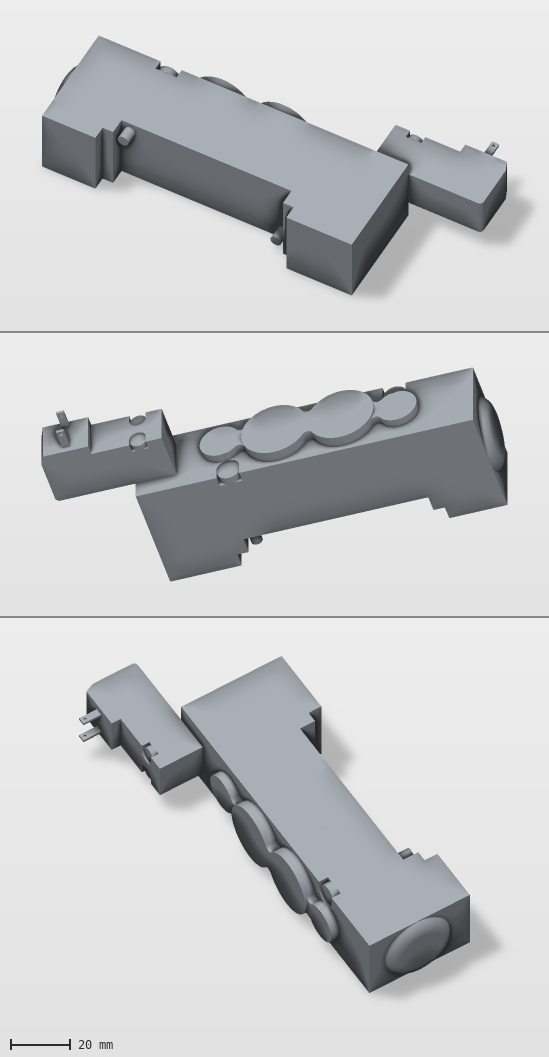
import cadquery as cq
import math


housing_left = -56.8
housing_right = 61.4
housing_depth = 39.8
housing_thickness = 26.6
foot_gap_length = 72.8
foot_gap_height = 5.0
recess_length = 64.8
recess_height = 11.0

button_diameter = 25.9
button_flat_diameter = 16.6
button_height = 2.8
button_y = 20.8

large_boss_diameter = 23.2
large_boss_height = 4.2
large_boss_spacing = large_boss_diameter
small_boss_diameter = 14.1
small_boss_height = 3.3
small_boss_x = 30.9
small_boss_z = 1.2
boss_blend_radius = 2.0

mount_x = 29.1
mount_z = 9.5
mount_shank_diameter = 4.0
mount_tip_y = 6.0
mount_head_diameter = 8.0
mount_head_height = 2.7
mount_seat_depth = 3.5

label_length = 69.4
label_width = 13.0
label_y = 20.0
label_thickness = 0.7

coil_gap = 0.6
coil_left = 47.0
coil_right = 89.0
coil_step_x = 71.6
coil_base_y = housing_depth + coil_gap
coil_step_y = 57.4
coil_top_y = 61.0
coil_thickness = 14.9
coil_corner_radius = 1.5
coil_chamfer_length = 1.5
coil_chamfer_height = 3.5
coil_head_x = 55.5
coil_head_z = 4.8
coil_head_diameter = 5.8
coil_head_height = 2.1
coil_seat_depth = 3.0

blade_x = 79.4
blade_z = 4.8
blade_width = 2.7
blade_thickness = 1.0
blade_tip_y = 68.0
blade_hole_diameter = 1.0
blade_hole_inset = 1.5


def y_cylinder(diameter, x, z, y_start, y_end):
    return (
        cq.Workplane("XZ", origin=(0, y_start, 0))
        .center(x, z)
        .circle(diameter / 2)
        .extrude(y_start - y_end)
    )


def box_between(x_range, y_range, z_range):
    corner = (x_range[0], y_range[0], z_range[0])
    size = (x_range[1] - x_range[0], y_range[1] - y_range[0], z_range[1] - z_range[0])
    return cq.Workplane("XY", origin=corner).box(*size, centered=False)


def edge_slot(diameter, x, z, outer_z, y_floor, y_top):
    """Round-ended slot that opens through the face at outer_z."""
    radius = diameter / 2
    round_end = y_cylinder(diameter, x, z, y_floor, y_top)
    opening = box_between((x - radius, x + radius), (y_floor, y_top), sorted((z, outer_z)))
    return round_end.union(opening)


def blend(x1, z1, radius1, x2, z2, radius2, side, height):
    """Fill between two round bosses, hollowed by an arc tangent to both of them.

    side is +1 or -1 and picks the +Z or the -Z flank of the pair.
    """
    reach1 = radius1 + boss_blend_radius
    reach2 = radius2 + boss_blend_radius
    dx, dz = x2 - x1, z2 - z1
    distance = math.hypot(dx, dz)
    along = (reach1**2 - reach2**2 + distance**2) / (2 * distance)
    across = side * math.sqrt(reach1**2 - along**2)
    arc_x = x1 + (along * dx - across * dz) / distance
    arc_z = z1 + (along * dz + across * dx) / distance
    fill = (
        cq.Workplane("XZ", origin=(0, housing_depth, 0))
        .polyline([(x1, z1), (arc_x, arc_z), (x2, z2)])
        .close()
        .extrude(-height)
    )
    hollow = y_cylinder(
        2 * boss_blend_radius, arc_x, arc_z, housing_depth, housing_depth + height
    )
    return fill.cut(hollow)


def make_block():
    half_gap = foot_gap_length / 2
    half_recess = recess_length / 2
    outline = [
        (housing_left, 0),
        (-half_gap, 0),
        (-half_gap, foot_gap_height),
        (-half_recess, foot_gap_height),
        (-half_recess, recess_height),
        (half_recess, recess_height),
        (half_recess, foot_gap_height),
        (half_gap, foot_gap_height),
        (half_gap, 0),
        (housing_right, 0),
        (housing_right, housing_depth),
        (housing_left, housing_depth),
    ]
    return (
        cq.Workplane("XY")
        .polyline(outline)
        .close()
        .extrude(housing_thickness / 2, both=True)
    )


def make_button():
    base_radius = button_diameter / 2
    flat_radius = button_flat_diameter / 2
    rim = base_radius - flat_radius
    rim_radius = (rim**2 + button_height**2) / (2 * button_height)
    half_angle = math.asin(rim / rim_radius) / 2
    tip_x = housing_left - button_height
    middle = (
        tip_x + rim_radius * (1 - math.cos(half_angle)),
        button_y + flat_radius + rim_radius * math.sin(half_angle),
    )
    return (
        cq.Workplane("XY")
        .moveTo(housing_left, button_y)
        .lineTo(tip_x, button_y)
        .lineTo(tip_x, button_y + flat_radius)
        .threePointArc(middle, (housing_left, button_y + base_radius))
        .close()
        .revolve(360, (housing_left, button_y, 0), (housing_left + 1.5, button_y, 0))
    )


def make_port_bosses():
    large_x = large_boss_spacing / 2
    large_radius = large_boss_diameter / 2
    small_radius = small_boss_diameter / 2
    large_top = housing_depth + large_boss_height
    small_top = housing_depth + small_boss_height
    bosses = cq.Workplane("XY")
    for end in (-1, 1):
        small = (end * small_boss_x, end * small_boss_z, small_radius)
        large = (end * large_x, 0, large_radius)
        bosses = bosses.add(y_cylinder(large_boss_diameter, large[0], 0, housing_depth, large_top))
        bosses = bosses.add(
            y_cylinder(small_boss_diameter, small[0], small[1], housing_depth, small_top)
        )
        bosses = bosses.add(
            blend(-large_x, 0, large_radius, large_x, 0, large_radius, end, large_boss_height)
        )
        for side in (-1, 1):
            bosses = bosses.add(blend(*small, *large, side, small_boss_height))
    return bosses.combine()


def make_housing():
    housing = make_block().union(make_button()).union(make_port_bosses())
    seat_y = housing_depth - mount_seat_depth
    slot_top = housing_depth + small_boss_height
    for end in (-1, 1):
        x = end * mount_x
        z = -end * mount_z
        outer_z = -end * housing_thickness / 2
        housing = housing.cut(edge_slot(mount_head_diameter, x, z, outer_z, seat_y, slot_top))
        housing = housing.union(
            y_cylinder(mount_head_diameter, x, z, seat_y, seat_y + mount_head_height)
        )
        housing = housing.union(y_cylinder(mount_shank_diameter, x, z, mount_tip_y, recess_height))
    return housing.cut(make_label())


def make_label():
    top_z = housing_thickness / 2
    return box_between(
        (-label_length / 2, label_length / 2),
        (label_y - label_width / 2, label_y + label_width / 2),
        (top_z - label_thickness, top_z),
    )


def make_blade(z):
    half_width = blade_width / 2
    blade = box_between(
        (blade_x - half_width, blade_x + half_width),
        (coil_top_y, blade_tip_y),
        (z - blade_thickness / 2, z + blade_thickness / 2),
    )
    hole = (
        cq.Workplane("XY")
        .center(blade_x, blade_tip_y - blade_hole_inset)
        .circle(blade_hole_diameter / 2)
        .extrude(coil_thickness, both=True)
    )
    return blade.cut(hole)


def make_coil():
    outline = [
        (coil_left, coil_base_y),
        (coil_right, coil_base_y),
        (coil_right, coil_top_y - coil_chamfer_height),
        (coil_right - coil_chamfer_length, coil_top_y),
        (coil_step_x, coil_top_y),
        (coil_step_x, coil_step_y),
        (coil_left, coil_step_y),
    ]
    coil = cq.Workplane("XY").polyline(outline).close().extrude(coil_thickness / 2, both=True)
    coil = coil.edges("|Z").edges(">X").edges("<Y").fillet(coil_corner_radius)
    seat_y = coil_step_y - coil_seat_depth
    for side in (-1, 1):
        z = side * coil_head_z
        outer_z = side * coil_thickness / 2
        coil = coil.cut(
            edge_slot(coil_head_diameter, coil_head_x, z, outer_z, seat_y, coil_step_y)
        )
        coil = coil.union(
            y_cylinder(coil_head_diameter, coil_head_x, z, seat_y, seat_y + coil_head_height)
        )
        coil = coil.union(make_blade(side * blade_z))
    return coil


housing = make_housing()
label = make_label()
coil = make_coil()

result = cq.Compound.makeCompound([housing.val(), label.val(), coil.val()])